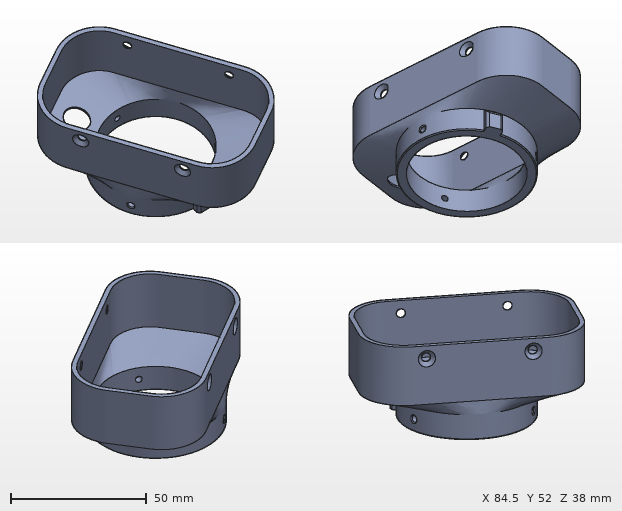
import cadquery as cq
import math

length = 84.5
width = 50.5
corner_radius = 16.9
wall = 1.95

collar_top = 10.0
housing_bottom = 15.0
total_height = 38.0

collar_radius = 26.0
bore_radius = 22.2
collar_chamfer = 0.4

end_seam_angle = 13.3
side_seam_angle = 51.0
inner_twist = 7.3

wall_hole_diameter = 3.4
countersink_diameter = 6.4
wall_hole_x = 20.0
wall_hole_z = 32.95

screw_diameter = 2.5
screw_mouth_diameter = 3.4
screw_z = 4.9
screw_overrun = 0.85
screw_angles = (-90, 30, 150)

cable_hole_diameter = 10.05
cable_hole_x = -31.0

lug_angle = -30
lug_root_radius = 24.1
lug_tip_radius = 29.0
lug_width = 6.5
lug_edge_chamfer = 1.0
lug_tip_height = 6.6
lug_bevel_radius = 28.5
lug_bevel_height = 7.35
lug_slope_radius = 25.85


def rounded_box(inset):
    """Straight-walled housing block, moved inward by the inset on every side."""
    return (
        cq.Workplane("XY", origin=(0, 0, housing_bottom))
        .rect(length - 2 * inset, width - 2 * inset)
        .extrude(total_height - housing_bottom)
        .edges("|Z")
        .fillet(corner_radius - inset)
    )


def closed_outline(corners, is_arc, arc_middles, z):
    """Closed wire through the corners; each stretch is a line or a three-point arc."""
    edges = []
    for i, start in enumerate(corners):
        start_point = cq.Vector(*start, z)
        end_point = cq.Vector(*corners[(i + 1) % len(corners)], z)
        if is_arc[i]:
            middle = cq.Vector(*arc_middles[i], z)
            edges.append(cq.Edge.makeThreePointArc(start_point, middle, end_point))
        else:
            edges.append(cq.Edge.makeLine(start_point, end_point))
    return cq.Wire.assembleEdges(edges)


def polar(radius, degrees):
    """X and Y of a point on a circle about the Z axis."""
    angle = math.radians(degrees)
    return (radius * math.cos(angle), radius * math.sin(angle))


def rounded_rectangle(inset):
    """Lower housing outline, starting at the lower end of the +X +Y corner arc."""
    x = length / 2 - inset
    y = width / 2 - inset
    center_x = length / 2 - corner_radius
    center_y = width / 2 - corner_radius
    diagonal = (corner_radius - inset) * math.sqrt(0.5)
    mid_x = center_x + diagonal
    mid_y = center_y + diagonal
    corners = [
        (x, center_y), (center_x, y), (-center_x, y), (-x, center_y),
        (-x, -center_y), (-center_x, -y), (center_x, -y), (x, -center_y),
    ]
    middles = [
        (mid_x, mid_y), None, (-mid_x, mid_y), None,
        (-mid_x, -mid_y), None, (mid_x, -mid_y), None,
    ]
    return closed_outline(corners, [True, False] * 4, middles, housing_bottom)


def split_circle(radius, twist):
    """Circle at the collar top, split into eight arcs to match the rounded rectangle."""
    angles = []
    for half_turn in (0, 180):
        for seam in (end_seam_angle, side_seam_angle, 180 - side_seam_angle, 180 - end_seam_angle):
            angles.append(half_turn + seam + twist)
    next_angles = angles[1:] + [angles[0] + 360]
    corners = [polar(radius, angle) for angle in angles]
    middles = [polar(radius, (a + b) / 2) for a, b in zip(angles, next_angles)]
    return closed_outline(corners, [True] * len(angles), middles, collar_top)


def transition(inset, radius, twist):
    """Ruled solid from the collar circle up to the rounded rectangle."""
    wires = [split_circle(radius, twist), rounded_rectangle(inset)]
    return cq.Workplane(cq.Solid.makeLoft(wires, True))


def collar():
    return (
        cq.Workplane("XY")
        .circle(collar_radius)
        .extrude(collar_top)
        .faces("<Z")
        .edges()
        .chamfer(collar_chamfer)
    )


def lug():
    """Radial lug with chamfered outer edges and a top sloping up to the collar."""
    half_width = lug_width / 2
    plan = (
        cq.Workplane("XY")
        .moveTo(lug_root_radius, -half_width)
        .lineTo(lug_tip_radius - lug_edge_chamfer, -half_width)
        .lineTo(lug_tip_radius, -half_width + lug_edge_chamfer)
        .lineTo(lug_tip_radius, half_width - lug_edge_chamfer)
        .lineTo(lug_tip_radius - lug_edge_chamfer, half_width)
        .lineTo(lug_root_radius, half_width)
        .close()
        .extrude(collar_top)
    )
    side_profile = (
        cq.Workplane("XZ")
        .moveTo(lug_root_radius, 0)
        .lineTo(lug_tip_radius, 0)
        .lineTo(lug_tip_radius, lug_tip_height)
        .lineTo(lug_bevel_radius, lug_bevel_height)
        .lineTo(lug_slope_radius, collar_top)
        .lineTo(lug_root_radius, collar_top)
        .close()
        .extrude(half_width, both=True)
    )
    return plan.intersect(side_profile).rotate((0, 0, 0), (0, 0, 1), lug_angle)


def countersunk_cutter(face_distance, depth, hole_diameter, mouth_diameter):
    """Cutter running inward from the +X side, with a 90 degree countersink at its mouth."""
    hole_radius = hole_diameter / 2
    mouth_radius = mouth_diameter / 2
    cone_depth = mouth_radius - hole_radius
    axis = cq.Vector(-1, 0, 0)
    mouth = cq.Vector(face_distance, 0, 0)
    hole = cq.Solid.makeCylinder(hole_radius, depth, mouth, axis)
    cone = cq.Solid.makeCone(mouth_radius, hole_radius, cone_depth, mouth, axis)
    return cq.Workplane(hole).union(cq.Workplane(cone))


def wall_holes(body):
    cutter = countersunk_cutter(width / 2, 2 * wall, wall_hole_diameter, countersink_diameter)
    for angle in (-90, 90):
        turned = cutter.rotate((0, 0, 0), (0, 0, 1), angle)
        for x in (-wall_hole_x, wall_hole_x):
            body = body.cut(turned.translate((x, 0, wall_hole_z)))
    return body


def screw_holes(body):
    depth = collar_radius - bore_radius + screw_overrun
    cutter = countersunk_cutter(collar_radius, depth, screw_diameter, screw_mouth_diameter)
    for angle in screw_angles:
        turned = cutter.rotate((0, 0, 0), (0, 0, 1), angle)
        body = body.cut(turned.translate((0, 0, screw_z)))
    return body


outer = rounded_box(0).union(transition(0, collar_radius, 0)).union(collar()).union(lug())
bore = cq.Workplane("XY").circle(bore_radius).extrude(collar_top)
body = outer.cut(rounded_box(wall)).cut(transition(wall, bore_radius, inner_twist)).cut(bore)

body = wall_holes(body)
body = screw_holes(body)
cable_hole = (
    cq.Workplane("XY", origin=(0, 0, collar_top))
    .center(cable_hole_x, 0)
    .circle(cable_hole_diameter / 2)
    .extrude(total_height - collar_top)
)
result = body.cut(cable_hole)